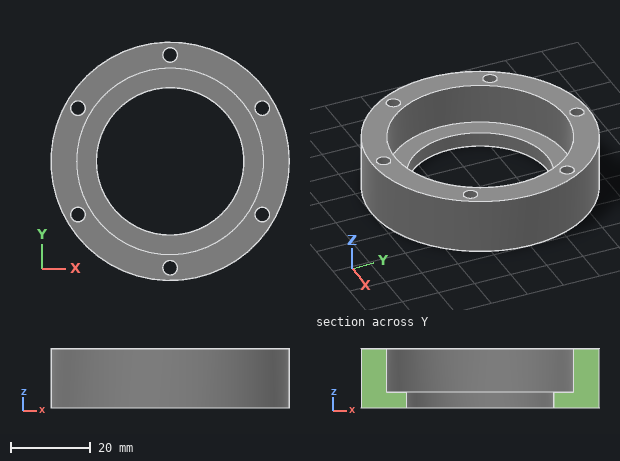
import cadquery as cq

outer_diameter = 60.0
height = 15.0

bore_diameter = 37.0
recess_diameter = 47.0
floor_thickness = 4.0
recess_depth = height - floor_thickness

hole_count = 6
hole_diameter = 3.6
bolt_circle_diameter = 53.5
first_hole_angle = 90

ring = cq.Workplane("XY").circle(outer_diameter / 2).extrude(height)

bored_ring = ring.faces(">Z").workplane().cboreHole(bore_diameter, recess_diameter, recess_depth)

result = (
    bored_ring.faces(">Z")
    .workplane(origin=(0, 0, height))
    .polarArray(bolt_circle_diameter / 2, first_hole_angle, 360, hole_count)
    .hole(hole_diameter)
)